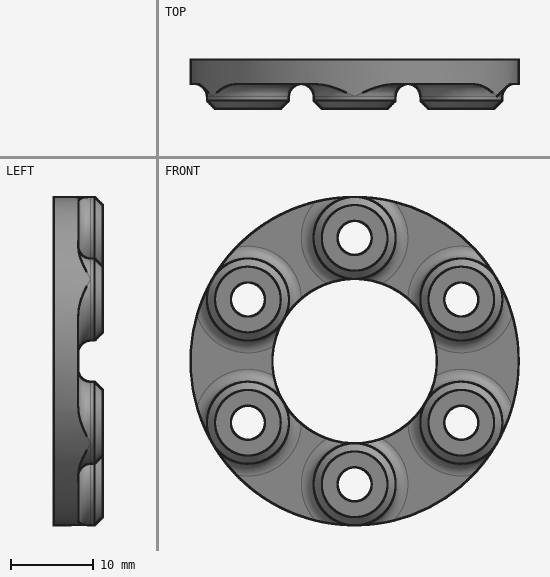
import cadquery as cq
import math

outer_radius = 20.0
inner_radius = 10.0
plate_thickness = 3.0

boss_count = 6
boss_height = 3.0
boss_radius = (outer_radius - inner_radius) / 2
boss_circle_radius = (outer_radius + inner_radius) / 2
root_fillet = 1.5
rim_chamfer = 1.0
hole_diameter = 4.1

total_depth = plate_thickness + boss_height


def ring(depth):
    """Ring whose back face lies at Y = 0, extending toward -Y."""
    return cq.Workplane("XZ").circle(outer_radius).circle(inner_radius).extrude(depth)


def boss():
    """Chamfered boss with a flared root, turned about the Y axis."""
    root_y = -plate_thickness
    top_y = -total_depth
    flare_radius = boss_radius + root_fillet
    arc_inset = root_fillet * (1 - math.sqrt(0.5))
    return (
        cq.Workplane("XY")
        .moveTo(0, 0)
        .lineTo(flare_radius, 0)
        .lineTo(flare_radius, root_y)
        .threePointArc(
            (boss_radius + arc_inset, root_y - arc_inset),
            (boss_radius, root_y - root_fillet),
        )
        .lineTo(boss_radius, top_y + rim_chamfer)
        .lineTo(boss_radius - rim_chamfer, top_y)
        .lineTo(0, top_y)
        .close()
        .revolve(360, (0, 0, 0), (0, 1, 0))
    )


def boss_centers():
    """Boss positions in the XZ plane; the first lies on the +Z axis."""
    angles = [math.pi / 2 + 2 * math.pi * i / boss_count for i in range(boss_count)]
    return [
        (boss_circle_radius * math.cos(angle), boss_circle_radius * math.sin(angle))
        for angle in angles
    ]


result = ring(plate_thickness)

envelope = ring(total_depth)
for x, z in boss_centers():
    placed_boss = boss().translate((x, 0, z))
    result = result.union(placed_boss.intersect(envelope))

holes = cq.Workplane("XZ").pushPoints(boss_centers()).circle(hole_diameter / 2).extrude(total_depth)
result = result.cut(holes)